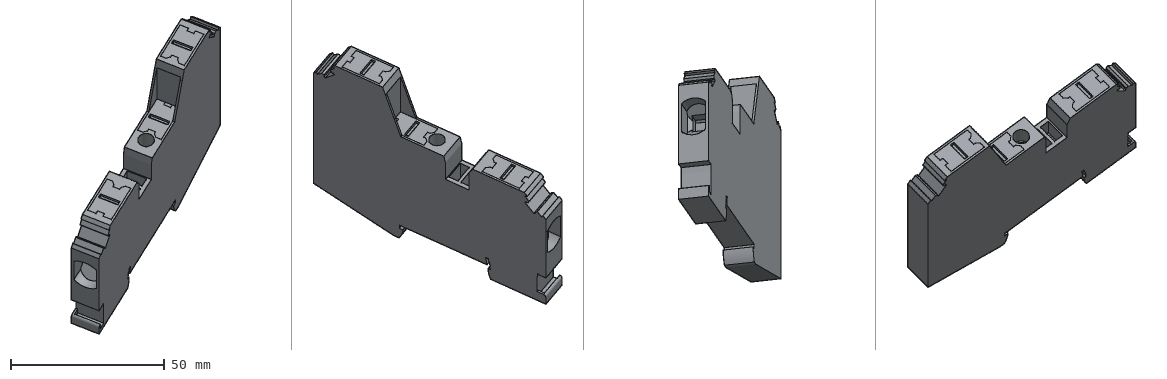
import cadquery as cq
LENGTH = 89.1
THICKNESS = 10.2
HEIGHT = 68.5
DECK_HEIGHT = 48.7

CORNER_SIZE = 8.3
CORNER_TEETH = [(7.1, 1.2), (7.9, 1.6), (6.4, 3.3), (6.9, 4.1), (7.7, 4.2), (7.9, 4.6)]

TOWER_FRONT = 62.55
TOWER_FOOT = 55.6
BACK_BOTTOM = 7.7
BACK_FOOT = 58.3

CHANNEL_FRONT = 29.5
CHANNEL_BACK = 38.4
CHANNEL_FLOOR = 38.05
FRONT_BEVEL_RUN = 1.4
FRONT_BEVEL_DROP = 2.6
BACK_BEVEL_RUN = 0.7
BACK_BEVEL_DROP = 2.9

POCKET_WIDTH = 7.1
POCKET_LENGTH = 3.4
POCKET_DEPTH = 7.1
POCKET_CENTRES = [31.8, 36.35]

RAIL_FACE = 6.15
HOOK_TOP = 4.7
BACK_HOOK_ROOT = 56.1
BACK_HOOK_TIP = 54.7
BACK_HOOK_MIDDLE = (55.2, 2.1)
BACK_HOOK_FOOT = 56.3
RAIL_FRONT = 22.5
RELIEF_TOP = 9.3
RELIEF_BACK = 23.1
RELIEF_FRONT = 22.2
RELIEF_MIDDLE = (21.6, 7.1)
FRONT_HOOK_ROOT = 21.3
FRONT_HOOK_TIP = 22.1
FRONT_HOOK_MIDDLE = (21.9, 2.1)
FRONT_HOOK_FOOT = 21.1

NOTCH_DEPTH = 3.4
NOTCH_BOTTOM = 4.2
NOTCH_TOP = 12.6
NOTCH_BEND = 10.2
NOTCH_LEAN = 0.2
FOOT_ROUND = 1.1
FOOT_LIP = 1.0
FOOT_GROOVE_DEPTH = 2.2
FOOT_GROOVE_WALL = 0.7

COVER_WIDTH = 8.6
COVER_LENGTH = 14.3
COVER_DEPTH = 2.7
TAB_HALF_WIDTH = 1.25
OUTER_TAB = 1.2
INNER_TAB = 2.0
INNER_TAB_NECK = 1.2
INNER_TAB_FLARE = 2.3
SLOT_WIDTH = 7.0
SLOT_LENGTH = 1.4
SLOT_OFFSET = 7.1
SLOT_DEPTH = 0.6
SLOT_DRAFT = 20.0
MIDDLE_COVER_BACK = 61.5
COVER_PLACES = [
    (78.5, HEIGHT, -1),
    (MIDDLE_COVER_BACK, DECK_HEIGHT, -1),
    (10.6, DECK_HEIGHT, 1),
]

SCREW_Y = 44.8
SCREW_STEPS = [(2.7, 7.1), (2.1, 8.9)]
SCREW_TIP_RADIUS = 1.25
SCREW_TIP_DEPTH = 10.7
SCREW_SHELF_DEPTH = 9.8
SCREW_SHELF_FRONT = 0.3
SCREW_SHELF_LEAN = 0.45

WIRE_Z = 28.9
WIRE_WIDTH = 8.1
WIRE_RISE = 6.5
WIRE_SIDE_RISE = 4.9
FUNNEL_START = 3.2
FUNNEL_SIDE_START = 7.7
FUNNEL_TOP_SHIFT = 1.7
CLAMP_WIDTH = 5.35
CLAMP_BOTTOM = 26.9
CLAMP_TOP = 32.6
CLAMP_END = 12.5
CLAMP_END_BEVEL = 0.7


def corner_points(end_y, inward, top):
    """Toothed corner from its top edge to its end-face edge; `inward` is +1 or -1 along Y."""
    upper = [(CORNER_SIZE, 0.0)] + CORNER_TEETH
    lower = [(depth, inset) for inset, depth in reversed(upper)]
    return [(end_y + inward * inset, top - depth) for inset, depth in upper + lower]


def side_extrusion(outline, width):
    """Extrude a YZ wire symmetrically about X = 0."""
    return outline.extrude(width / 2, both=True)


def box(x_size, y_range, z_range):
    """Box centred on X = 0."""
    y_min, y_max = y_range
    z_min, z_max = z_range
    return cq.Workplane("XY").box(x_size, y_max - y_min, z_max - z_min).translate(
        (0, (y_min + y_max) / 2, (z_min + z_max) / 2)
    )


def housing_blank():
    """Side outline of the housing, extruded over the full thickness."""
    outline = (
        cq.Workplane("YZ")
        .moveTo(0, 0)
        .lineTo(FRONT_HOOK_FOOT, 0)
        .threePointArc(FRONT_HOOK_MIDDLE, (FRONT_HOOK_TIP, HOOK_TOP))
        .lineTo(FRONT_HOOK_ROOT, HOOK_TOP)
        .threePointArc(RELIEF_MIDDLE, (RELIEF_FRONT, RELIEF_TOP))
        .lineTo(RELIEF_BACK, RELIEF_TOP)
        .lineTo(RAIL_FRONT, RAIL_FACE)
        .lineTo(BACK_HOOK_ROOT, RAIL_FACE)
        .lineTo(BACK_HOOK_ROOT, HOOK_TOP)
        .lineTo(BACK_HOOK_TIP, HOOK_TOP)
        .threePointArc(BACK_HOOK_MIDDLE, (BACK_HOOK_FOOT, 0))
        .lineTo(BACK_FOOT, 0)
        .lineTo(LENGTH, BACK_BOTTOM)
    )
    for point in reversed(corner_points(LENGTH, -1, HEIGHT)):
        outline = outline.lineTo(*point)
    outline = (
        outline.lineTo(TOWER_FRONT, HEIGHT)
        .lineTo(TOWER_FOOT, DECK_HEIGHT)
        .lineTo(CHANNEL_BACK + BACK_BEVEL_RUN, DECK_HEIGHT)
        .lineTo(CHANNEL_BACK, DECK_HEIGHT - BACK_BEVEL_DROP)
        .lineTo(CHANNEL_BACK, CHANNEL_FLOOR)
        .lineTo(CHANNEL_FRONT, CHANNEL_FLOOR)
        .lineTo(CHANNEL_FRONT, DECK_HEIGHT - FRONT_BEVEL_DROP)
        .lineTo(CHANNEL_FRONT - FRONT_BEVEL_RUN, DECK_HEIGHT)
    )
    for point in corner_points(0, 1, DECK_HEIGHT):
        outline = outline.lineTo(*point)
    outline = (
        outline.lineTo(0, NOTCH_TOP)
        .lineTo(NOTCH_DEPTH - NOTCH_LEAN, NOTCH_TOP)
        .lineTo(NOTCH_DEPTH, NOTCH_BEND)
        .lineTo(NOTCH_DEPTH, NOTCH_BOTTOM)
        .lineTo(FOOT_ROUND, NOTCH_BOTTOM)
        .radiusArc((0, NOTCH_BOTTOM - FOOT_ROUND), -FOOT_ROUND)
        .close()
    )
    return side_extrusion(outline, THICKNESS)


def tower_recess():
    """Clearance above the middle cover, cut into the sloped tower front."""
    return box(COVER_WIDTH, (TOWER_FOOT, MIDDLE_COVER_BACK), (DECK_HEIGHT, HEIGHT))


def foot_groove():
    """Groove behind the lip of the release foot, running out through the +X side."""
    groove = box(
        THICKNESS,
        (FOOT_LIP, NOTCH_DEPTH),
        (NOTCH_BOTTOM - FOOT_GROOVE_DEPTH, NOTCH_BOTTOM),
    )
    return groove.translate((FOOT_GROOVE_WALL, 0, 0))


def channel_pockets():
    """Rectangular pockets side by side in the channel floor."""
    return (
        cq.Workplane("XY", origin=(0, 0, CHANNEL_FLOOR))
        .pushPoints([(0, y) for y in POCKET_CENTRES])
        .rect(POCKET_WIDTH, POCKET_LENGTH)
        .extrude(-POCKET_DEPTH)
    )


def screw_hole():
    """Stepped round hole whose narrow tip has a shelf along its back."""
    deck = cq.Workplane("XY", origin=(0, SCREW_Y, DECK_HEIGHT))
    tip = deck.circle(SCREW_TIP_RADIUS).extrude(-SCREW_TIP_DEPTH)
    shelf_top = DECK_HEIGHT - SCREW_SHELF_DEPTH
    shelf_foot = DECK_HEIGHT - SCREW_TIP_DEPTH
    shelf_y = SCREW_Y + SCREW_SHELF_FRONT
    shelf_outline = cq.Workplane("YZ").polyline([
        (shelf_y, shelf_foot),
        (shelf_y + SCREW_SHELF_LEAN, shelf_top),
        (SCREW_Y + SCREW_TIP_RADIUS, shelf_top),
        (SCREW_Y + SCREW_TIP_RADIUS, shelf_foot),
    ]).close()
    hole = tip.cut(side_extrusion(shelf_outline, 2 * SCREW_TIP_RADIUS))
    for radius, depth in SCREW_STEPS:
        hole = hole.union(deck.circle(radius).extrude(-depth))
    return hole


def wire_entry():
    """Round-ended mouth that narrows at 45 degrees into a rectangular clamp opening."""
    half_width = WIRE_WIDTH / 2
    funnel_end = FUNNEL_SIDE_START + half_width - CLAMP_WIDTH / 2
    floor = WIRE_Z - WIRE_RISE
    roof = WIRE_Z + WIRE_RISE
    roof_start = FUNNEL_START + FUNNEL_TOP_SHIFT
    mouth = (
        cq.Workplane("XZ")
        .moveTo(-half_width, WIRE_Z - WIRE_SIDE_RISE)
        .threePointArc((0, floor), (half_width, WIRE_Z - WIRE_SIDE_RISE))
        .lineTo(half_width, WIRE_Z + WIRE_SIDE_RISE)
        .threePointArc((0, roof), (-half_width, WIRE_Z + WIRE_SIDE_RISE))
        .close()
        .extrude(-funnel_end)
    )
    side_taper = cq.Workplane("YZ").polyline([
        (0, floor),
        (FUNNEL_START, floor),
        (funnel_end, floor + funnel_end - FUNNEL_START),
        (funnel_end, roof - funnel_end + roof_start),
        (roof_start, roof),
        (0, roof),
    ]).close()
    plan_taper = cq.Workplane("XY").polyline([
        (-half_width, 0),
        (-half_width, FUNNEL_SIDE_START),
        (-CLAMP_WIDTH / 2, funnel_end),
        (CLAMP_WIDTH / 2, funnel_end),
        (half_width, FUNNEL_SIDE_START),
        (half_width, 0),
    ]).close()
    funnel = mouth.intersect(side_extrusion(side_taper, WIRE_WIDTH)).intersect(plan_taper.extrude(HEIGHT))
    clamp = side_extrusion(cq.Workplane("YZ").polyline([
        (FUNNEL_SIDE_START, CLAMP_BOTTOM),
        (CLAMP_END, CLAMP_BOTTOM),
        (CLAMP_END, CLAMP_TOP - CLAMP_END_BEVEL),
        (CLAMP_END - CLAMP_END_BEVEL, CLAMP_TOP),
        (FUNNEL_SIDE_START, CLAMP_TOP),
    ]).close(), CLAMP_WIDTH)
    return funnel.union(clamp)


def cover_blank(outer_y, top, direction):
    """Solid cover plate, notched at both ends."""
    half_width = COVER_WIDTH / 2
    half_outline = [
        (TAB_HALF_WIDTH, OUTER_TAB),
        (TAB_HALF_WIDTH, 0),
        (half_width, 0),
        (half_width, COVER_LENGTH),
        (INNER_TAB_FLARE, COVER_LENGTH),
        (TAB_HALF_WIDTH, COVER_LENGTH - INNER_TAB_NECK),
        (TAB_HALF_WIDTH, COVER_LENGTH - INNER_TAB),
    ]
    outline = half_outline + [(-x, y) for x, y in reversed(half_outline)]
    points = [(x, outer_y + direction * y) for x, y in outline]
    return cq.Workplane("XY", origin=(0, 0, top)).polyline(points).close().extrude(-COVER_DEPTH)


def terminal_cover(outer_y, top, direction):
    """Cover plate with a drafted screwdriver slot."""
    slot = (
        cq.Workplane("XY", origin=(0, outer_y + direction * SLOT_OFFSET, top))
        .rect(SLOT_WIDTH, SLOT_LENGTH)
        .extrude(-SLOT_DEPTH, taper=SLOT_DRAFT)
    )
    return cover_blank(outer_y, top, direction).cut(slot)


def terminal_housing():
    """Housing with its cut-outs and a matching seat for every cover."""
    body = housing_blank()
    for cutter in (tower_recess(), foot_groove(), channel_pockets(), screw_hole(), wire_entry()):
        body = body.cut(cutter)
    for place in COVER_PLACES:
        body = body.cut(cover_blank(*place))
    return body


housing = terminal_housing()
covers = [terminal_cover(*place) for place in COVER_PLACES]

result = cq.Compound.makeCompound([housing.val(), *[cover.val() for cover in covers]])